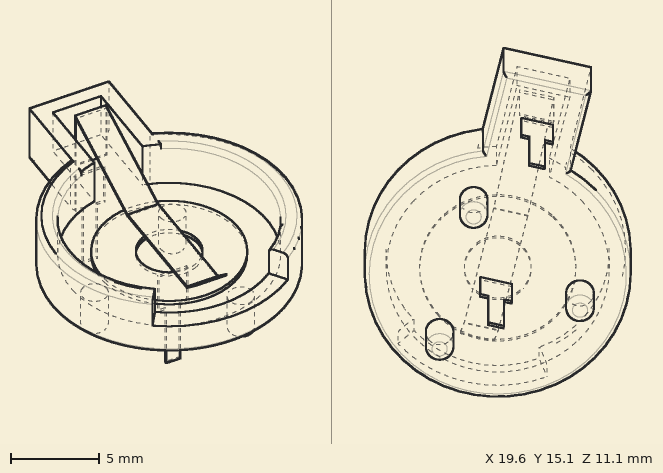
import cadquery as cq
import math

overall_length = 19.6
cup_radius = 7.53
bore_radius = 6.31
body_height = 3.78
floor_height = 0.95
rim_radius = 0.3
underside_radius = 0.25

arm_width = 5.1
arm_end_x = cup_radius - overall_length
channel_width = 3.08
channel_end_wall = 0.95

notch_half_angle = math.radians(35.2)
notch_height = 1.92

ring_outer_diameter = 8.84
ring_inner_diameter = 3.78
ring_height = 0.25

pin_diameter = 1.57
pin_length = 2.55
pin_circle_radius = 4.78
pin_tip_radius = 0.35
pin_angles = (30, 150, 270)

spring_width = 1.98
spring_thickness = 0.1
spring_x = -9.49
spring_top = 4.55
spring_flat_start = -3.18
spring_flat_end = 4.02
spring_flat_height = 1.92
spring_tip_x = 5.05
spring_tip_height = 2.85
terminal_thickness = 0.15
terminal_shoulder_width = 1.85
terminal_shoulder_depth = 2.55
terminal_pin_width = 0.9
terminal_depth = 6.53
center_terminal_x = 0.5


def box_between(x_start, x_end, width, z_start, z_end):
    """Box centred on the XZ plane between the given limits."""
    return (
        cq.Workplane("XY", origin=((x_start + x_end) / 2, 0, z_start))
        .rect(x_end - x_start, width)
        .extrude(z_end - z_start)
    )


def cylinder(radius, z_start, z_end):
    return cq.Workplane("XY", origin=(0, 0, z_start)).circle(radius).extrude(z_end - z_start)


def make_notch():
    """Wedge with radial sides that lowers the cup wall on the +X side."""
    reach = 2 * cup_radius
    x = reach * math.cos(notch_half_angle)
    y = reach * math.sin(notch_half_angle)
    return (
        cq.Workplane("XY", origin=(0, 0, notch_height))
        .polyline([(0, 0), (x, -y), (x, y)])
        .close()
        .extrude(body_height)
    )


def make_body():
    bore = cylinder(bore_radius, floor_height, body_height)
    cup = cylinder(cup_radius, 0, body_height).cut(bore)
    cup = cup.faces(">Z").edges().fillet(rim_radius)
    arm = box_between(arm_end_x, 0, arm_width, 0, body_height)
    body = cup.union(arm).faces("<Z").edges().fillet(underside_radius)
    channel = box_between(arm_end_x + channel_end_wall, 0, channel_width, floor_height, body_height)
    body = body.cut(bore).cut(channel).cut(make_notch())
    ring_top = floor_height + ring_height
    ring = cylinder(ring_outer_diameter / 2, floor_height, ring_top)
    ring = ring.cut(cylinder(ring_inner_diameter / 2, floor_height, ring_top))
    return body.union(ring)


def make_pin(angle):
    x = pin_circle_radius * math.cos(math.radians(angle))
    y = pin_circle_radius * math.sin(math.radians(angle))
    pin = cq.Workplane("XY", origin=(x, y, -pin_length)).circle(pin_diameter / 2)
    return pin.extrude(pin_length + floor_height / 2).faces("<Z").edges().fillet(pin_tip_radius)


def make_terminal(x_end):
    """Flat leg rooted in the floor, stepping down to a narrow solder pin."""
    x_start = x_end - terminal_thickness
    root = floor_height / 2
    shoulder = box_between(x_start, x_end, terminal_shoulder_width, -terminal_shoulder_depth, root)
    return shoulder.union(box_between(x_start, x_end, terminal_pin_width, -terminal_depth, root))


def make_spring():
    """Bent strip: upright in the arm, slope into the cup, flat run and raised tip."""
    bends = [
        (spring_x, spring_top),
        (spring_flat_start, spring_flat_height),
        (spring_flat_end, spring_flat_height),
        (spring_tip_x, spring_tip_height),
    ]
    strip = [(x, z - spring_thickness) for x, z in reversed(bends[1:])]
    inner_x = spring_x + spring_thickness
    slope = (spring_top - spring_flat_height) / (spring_flat_start - spring_x)
    inner_bend_z = spring_top - spring_thickness - slope * spring_thickness
    upright = [(inner_x, inner_bend_z), (inner_x, floor_height / 2), (spring_x, floor_height / 2)]
    profile = cq.Workplane("XZ").polyline(bends + strip + upright).close()
    return profile.extrude(spring_width / 2, both=True)


result = make_body().union(make_spring())
for pin_angle in pin_angles:
    result = result.union(make_pin(pin_angle))
for terminal_x in (spring_x, center_terminal_x):
    result = result.union(make_terminal(terminal_x))